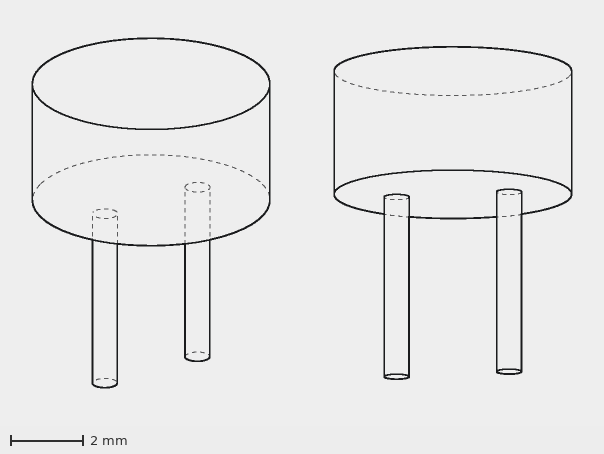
import cadquery as cq

total_height = 8.6
housing_diameter = 6.605
housing_height = 3.5
pin_diameter = 0.7
pin_pitch = 3.2

pin_length = total_height - housing_height


def make_housing():
    """Plain round housing standing on Z = 0."""
    return cq.Workplane("XY").circle(housing_diameter / 2).extrude(housing_height)


def make_pin(y_position):
    """Straight round lead hanging from the underside of the housing."""
    return cq.Workplane("XY").center(0, y_position).circle(pin_diameter / 2).extrude(-pin_length)


housing = make_housing()
pins = [make_pin(side * pin_pitch / 2) for side in (-1, 1)]

result = cq.Compound.makeCompound([housing.val(), *[pin.val() for pin in pins]])